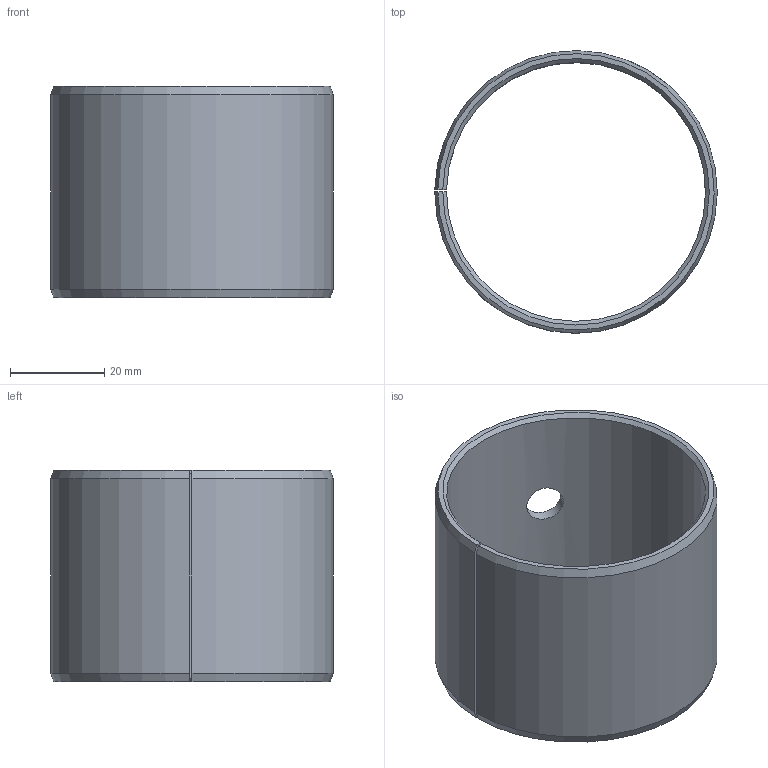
import cadquery as cq
import math

outer_diameter = 60.0
inner_diameter = 55.0
length = 45.0

outer_chamfer_length = 1.8
outer_chamfer_angle = 20.0
inner_chamfer = 0.8

joint_gap_angle = 1.0
joint_start_face_angle = 180.0
joint_end_face_angle = joint_start_face_angle - joint_gap_angle

oil_hole_diameter = 8.0
oil_hole_angle_from_joint = 120.0
oil_hole_angle = joint_end_face_angle - oil_hole_angle_from_joint

outer_radius = outer_diameter / 2
inner_radius = inner_diameter / 2
half_length = length / 2
outer_chamfer_depth = outer_chamfer_length * math.tan(math.radians(outer_chamfer_angle))


def turn_about_axis(body, angle):
    """Rotate a body about the bushing axis, from +X towards +Y."""
    return body.rotate((0, 0, 0), (0, 0, 1), angle)


def make_split_sleeve():
    """Revolve the wall section, chamfered inside and out, leaving the joint open."""
    upper_section = [
        (inner_radius, half_length - inner_chamfer),
        (inner_radius + inner_chamfer, half_length),
        (outer_radius - outer_chamfer_depth, half_length),
        (outer_radius, half_length - outer_chamfer_length),
    ]
    lower_section = [(radius, -height) for radius, height in reversed(upper_section)]
    profile = cq.Workplane("XZ").polyline(upper_section + lower_section).close()
    sleeve = profile.revolve(360 - joint_gap_angle, (0, 0, 0), (0, 1, 0))
    return turn_about_axis(sleeve, joint_start_face_angle)


def make_oil_hole_cutter():
    """Radial cylinder from the axis out through one side of the wall."""
    cylinder = cq.Workplane("YZ").circle(oil_hole_diameter / 2).extrude(outer_diameter)
    return turn_about_axis(cylinder, oil_hole_angle)


result = make_split_sleeve().cut(make_oil_hole_cutter())